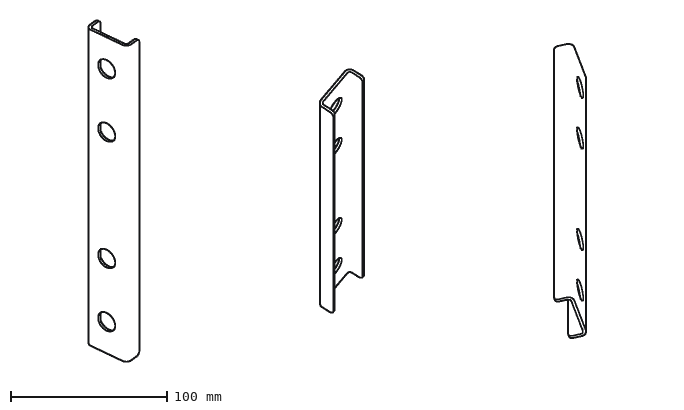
import cadquery as cq

length = 250.0
width = 34.0
depth = 12.5
thickness = 2.0
outer_bend_radius = 4.0
flange_corner_radius = 3.0
hole_diameter = 14.0
end_hole_inset = 25.0
inner_hole_inset = 75.0

inner_bend_radius = outer_bend_radius - thickness
hole_heights = [
    end_hole_inset,
    inner_hole_inset,
    length - inner_hole_inset,
    length - end_hole_inset,
]


def bent_channel():
    """U-shaped sheet channel standing along Z, web on the -Y side, open toward +Y."""
    outside = (
        cq.Workplane("XY")
        .rect(width, depth)
        .extrude(length)
        .edges("|Z and <Y")
        .fillet(outer_bend_radius)
    )
    inside = (
        cq.Workplane("XY")
        .center(0, thickness / 2)
        .rect(width - 2 * thickness, depth - thickness)
        .extrude(length)
        .edges("|Z and <Y")
        .fillet(inner_bend_radius)
    )
    return outside.cut(inside)


def web_holes():
    """Round cutters along Y, centred across the web."""
    centers = [(0, height) for height in hole_heights]
    return (
        cq.Workplane("XZ")
        .pushPoints(centers)
        .circle(hole_diameter / 2)
        .extrude(depth, both=True)
    )


channel = bent_channel().edges("|X and >Y").fillet(flange_corner_radius)
result = channel.cut(web_holes())